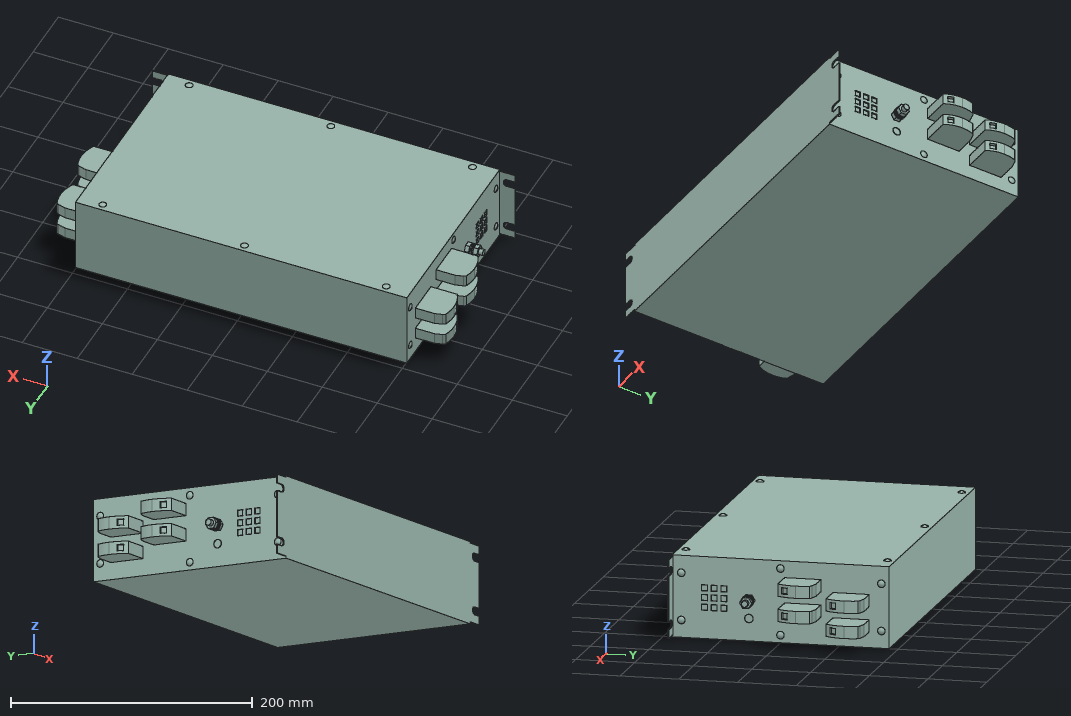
import cadquery as cq
import math

overall_length = 358.0
body_length = 301.5
body_width = 185.0
body_height = 70.0
wall_x = -body_length / 2
front_y = -body_width / 2
mid_z = body_height / 2
overlap = 1.8

flange_length = 330.0
flange_thickness = 1.0
flange_bottom = 1.8
flange_top = 68.7
flange_mid_z = (flange_bottom + flange_top) / 2
slot_width = 6.5
slot_depth = 10.7
slot_spacing = 45.5

screw_radius = 3.2
screw_height = 1.5
lid_screw_xs = (-129.0, 0, 129.0)
lid_screw_ys = (-86.0, 86.0)
side_screw_ys = (-84.5, 86.0)
side_screw_z_offset = 20.0
middle_screw_z_offset = 28.3

connector_width = 30.8
connector_height = 10.5
connector_ys = (60.0, 19.0)
connector_base_z = 19.7
connector_stagger = 10.5
connector_pitch = 21.5
connector_far_side_drop = 1.0
connector_reach = overall_length / 2 + wall_x
shoulder_reach = 17.2
corner_start_reach = 24.0
corner_end_reach = 26.0
end_reach = 24.0
shoulder_drop = 1.8
corner_drop = 3.2
corner_bulge = 0.18
crown_y = 0.7

window_size = 5.5
window_depth = 3.0
window_y = -9.3

stud_y = -27.0
stud_radius = 2.7
stud_reach = 15.5
nut_corner_diameter = 10.5
nut_thickness = 4.0
flat_washer_radius = 5.0
lock_washer_radius = 4.5
washer_stack = 3.5

disc_radius = 3.5
disc_height = 0.5
disc_z = 19.5

recess_size = 5.0
recess_pitch = 8.2
recess_depth = 1.0
recess_field_y = -56.5


def screw_head():
    """Spherical cap on Z = 0, pointing up, with a short plug below."""
    sphere_radius = (screw_radius**2 + screw_height**2) / (2 * screw_height)
    half_angle = math.asin(screw_radius / sphere_radius) / 2
    arc_middle = (
        sphere_radius * math.sin(half_angle),
        screw_height - sphere_radius * (1 - math.cos(half_angle)),
    )
    return (
        cq.Workplane("XZ")
        .moveTo(0, -overlap)
        .lineTo(screw_radius, -overlap)
        .lineTo(screw_radius, 0)
        .threePointArc(arc_middle, (0, screw_height))
        .close()
        .revolve(360, (0, 0, 0), (0, 1, 0))
    )


def side_screw(y, z):
    """Screw head on the -X wall."""
    return screw_head().rotate((0, 0, 0), (0, 1, 0), -90).translate((wall_x, y, z))


def flange_plate():
    """Plate across the front, with two open round-ended slots at each end."""
    plate = cq.Workplane("XY").box(
        flange_length, flange_thickness, flange_top - flange_bottom
    )
    slot_centres = [
        (side * flange_length / 2, level * slot_spacing / 2)
        for side in (-1, 1)
        for level in (-1, 1)
    ]
    slots = (
        cq.Workplane("XZ")
        .pushPoints(slot_centres)
        .slot2D(2 * slot_depth, slot_width)
        .extrude(flange_thickness, both=True)
    )
    return plate.cut(slots).translate((0, front_y + flange_thickness / 2, flange_mid_z))


def connector():
    """Block on the -X wall with a bowed nose, centred on Y = 0 and Z = 0."""

    def tip(reach, y):
        return (wall_x - reach, y)

    def bow(start_reach, start_y, end_y):
        """Point halfway along an arc that is square to X at the crown."""
        sagitta = connector_reach - start_reach
        middle_y = (start_y + end_y) / 2
        radius = ((end_y - start_y) ** 2 + sagitta**2) / (2 * sagitta)
        fall = radius - math.sqrt(radius**2 - (middle_y - end_y) ** 2)
        return tip(connector_reach - fall, middle_y)

    half_width = connector_width / 2
    corner_middle = tip(
        (corner_start_reach + corner_end_reach) / 2 + corner_bulge,
        half_width - (shoulder_drop + corner_drop) / 2 + corner_bulge,
    )
    block = (
        cq.Workplane("XY", origin=(0, 0, -connector_height / 2))
        .moveTo(*tip(-overlap, half_width))
        .lineTo(*tip(shoulder_reach, half_width))
        .lineTo(*tip(corner_start_reach, half_width - shoulder_drop))
        .threePointArc(corner_middle, tip(corner_end_reach, half_width - corner_drop))
        .threePointArc(
            bow(corner_end_reach, half_width - corner_drop, crown_y),
            tip(connector_reach, crown_y),
        )
        .threePointArc(
            bow(end_reach, -half_width, crown_y),
            tip(end_reach, -half_width),
        )
        .lineTo(*tip(-overlap, -half_width))
        .close()
        .extrude(connector_height)
    )

    end_span = crown_y + half_width
    sagitta = connector_reach - end_reach
    nose_radius = (end_span**2 + sagitta**2) / (2 * sagitta)
    window_angle = math.asin((crown_y - window_y) / nose_radius)
    window_x = wall_x - connector_reach + nose_radius * (1 - math.cos(window_angle))
    window = (
        cq.Workplane("XY")
        .box(2 * window_depth, window_size, window_size)
        .rotate((0, 0, 0), (0, 0, 1), math.degrees(window_angle))
        .translate((window_x, window_y, 0))
    )
    return block.cut(window)


def connector_bank():
    """All four connectors of the -X wall."""
    bank = cq.Workplane("XY")
    for column, y in enumerate(connector_ys):
        for level in range(2):
            z = connector_base_z + column * connector_stagger + level * connector_pitch
            bank = bank.add(connector().translate((0, y, z)))
    return bank.combine()


def rod(radius, start, end, y, z):
    """Cylinder standing on the -X wall, between two distances from it."""
    return (
        cq.Workplane("YZ", origin=(wall_x - end, y, z))
        .circle(radius)
        .extrude(end - start)
    )


def nut(start):
    """Hexagon nut on the stud, with a flat facing up."""
    return (
        cq.Workplane("YZ", origin=(wall_x - start - nut_thickness, stud_y, mid_z))
        .polygon(6, nut_corner_diameter)
        .extrude(nut_thickness)
    )


def earth_stud():
    """Stud, inner nut, flat, lock and flat washers, and outer nut."""
    stud = rod(stud_radius, -overlap, stud_reach, stud_y, mid_z)
    stud = stud.union(nut(0)).union(nut(nut_thickness + washer_stack))
    washer_radii = (flat_washer_radius, lock_washer_radius, flat_washer_radius)
    washer_thickness = washer_stack / len(washer_radii)
    for place, radius in enumerate(washer_radii):
        start = nut_thickness + place * washer_thickness
        stud = stud.union(rod(radius, start, start + washer_thickness, stud_y, mid_z))
    return stud


def recess_field():
    """Cutter for the square recesses of the -X wall."""
    return (
        cq.Workplane("YZ", origin=(wall_x, recess_field_y, mid_z))
        .rarray(recess_pitch, recess_pitch, 3, 3)
        .rect(recess_size, recess_size)
        .extrude(recess_depth)
    )


def end_fittings():
    """Stud, disc and screws of the -X wall."""
    fittings = earth_stud().union(rod(disc_radius, -overlap, disc_height, stud_y, disc_z))
    for side in (-1, 1):
        fittings = fittings.union(side_screw(0, mid_z + side * middle_screw_z_offset))
        for y in side_screw_ys:
            fittings = fittings.union(side_screw(y, mid_z + side * side_screw_z_offset))
    return fittings


result = cq.Workplane("XY").box(
    body_length, body_width, body_height, centered=(True, True, False)
)
result = result.union(flange_plate())
for screw_x in lid_screw_xs:
    for screw_y in lid_screw_ys:
        result = result.union(screw_head().translate((screw_x, screw_y, body_height)))

fittings = end_fittings()
recesses = recess_field()
connectors = connector_bank()
result = result.cut(recesses).cut(recesses.mirror("YZ"))
result = result.union(fittings).union(fittings.mirror("YZ"))
result = result.union(connectors)
result = result.union(connectors.mirror("YZ").translate((0, 0, -connector_far_side_drop)))